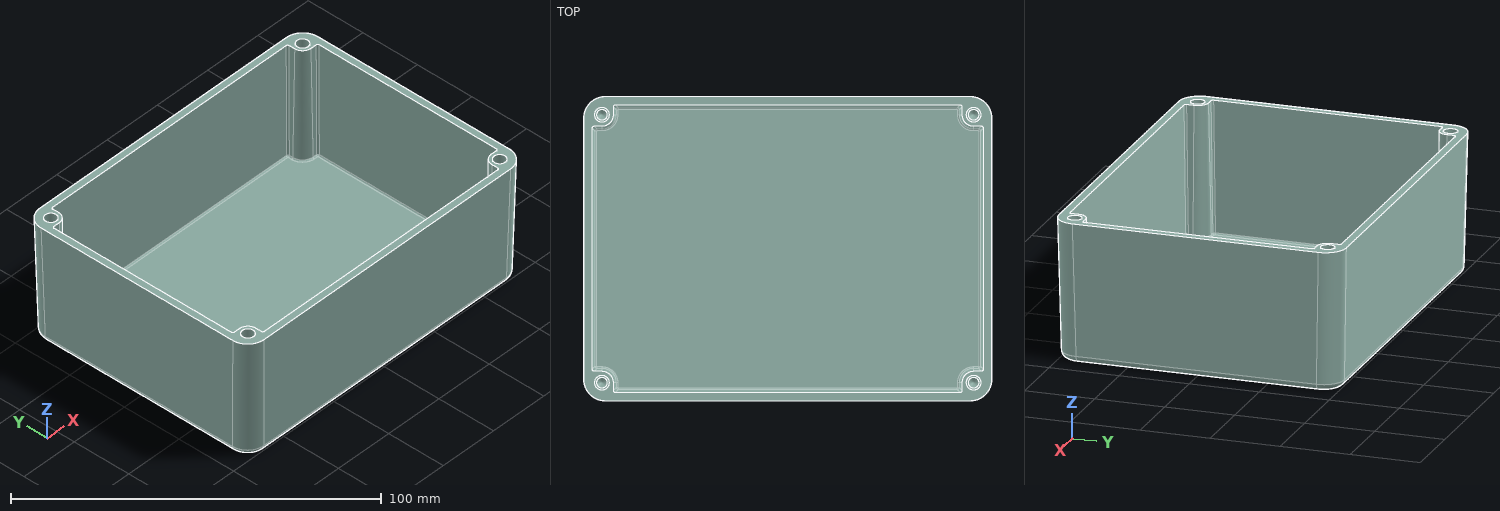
import cadquery as cq
import math

length = 110.1
width = 82.1
height = 40.0
outer_draft = 1.2
corner_radius = 6.0
bottom_edge_radius = 2.0

rim_thickness = 2.3
floor_thickness = 2.0
inner_draft = 1.2
floor_fillet = 0.4
pocket_corner_radius = 0.5

screw_inset = 5.0
boss_radius = 3.1
screw_x = length / 2 - screw_inset
screw_y = width / 2 - screw_inset

counterbore_radius = 2.0
counterbore_depth = 4.4
drill_radius = 1.4
drill_depth = 19.8
drill_point_angle = 118


def outer_body():
    """Drafted block, largest at the rim, with rounded corners and bottom edge."""
    block = (
        cq.Workplane("XY")
        .workplane(offset=height)
        .rect(length, width)
        .extrude(-height, taper=outer_draft)
    )
    block = block.edges("not(|X or |Y)").fillet(corner_radius)
    return block.faces("<Z").edges().fillet(bottom_edge_radius)


def screw_bosses():
    """Rounded square posts centred on the outer corners, flaring towards the floor."""
    post_side = 2 * (screw_inset + boss_radius)
    post_outline = cq.Sketch().rect(post_side, post_side).vertices().fillet(boss_radius)
    return (
        cq.Workplane("XY")
        .workplane(offset=height)
        .rect(length, width, forConstruction=True)
        .vertices()
        .placeSketch(post_outline)
        .extrude(-height, taper=-inner_draft)
    )


def is_pocket_corner(edge):
    """True for the upright edges where a boss meets a pocket wall."""
    centre = edge.Center()
    halfway_to_wall = (screw_inset - rim_thickness) / 2
    beside_x_wall = abs(centre.x) > screw_x + halfway_to_wall
    beside_y_wall = abs(centre.y) > screw_y + halfway_to_wall
    return edge.geomType() == "LINE" and (beside_x_wall or beside_y_wall)


def cavity():
    """Drafted pocket notched by the bosses, with rounded corners and a filleted floor."""
    pocket = (
        cq.Workplane("XY")
        .workplane(offset=height)
        .rect(length - 2 * rim_thickness, width - 2 * rim_thickness)
        .extrude(floor_thickness - height, taper=inner_draft)
        .cut(screw_bosses())
    )
    pocket = pocket.edges("not(|X or |Y)").filter(is_pocket_corner).fillet(pocket_corner_radius)
    return pocket.faces("<Z").edges().fillet(floor_fillet)


def screw_holes():
    """Counterbored blind holes with drill-point ends, one at each corner of the rim."""
    drill_bottom = height - drill_depth
    drill_tip = drill_bottom - drill_radius / math.tan(math.radians(drill_point_angle / 2))
    shoulder = height - counterbore_depth
    hole = (
        cq.Workplane("XZ")
        .moveTo(0, height)
        .lineTo(counterbore_radius, height)
        .lineTo(counterbore_radius, shoulder)
        .lineTo(drill_radius, shoulder)
        .lineTo(drill_radius, drill_bottom)
        .lineTo(0, drill_tip)
        .close()
        .revolve(360, (0, 0, 0), (0, 1, 0))
    )
    centres = cq.Workplane("XY").rect(2 * screw_x, 2 * screw_y, forConstruction=True).vertices()
    return centres.eachpoint(lambda place: hole.val().moved(place))


result = outer_body().cut(cavity()).cut(screw_holes())